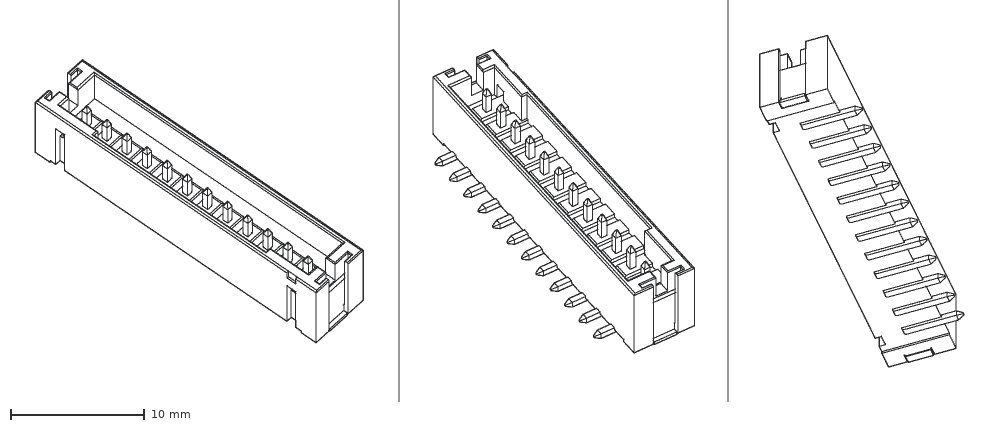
import cadquery as cq

LENGTH = 27.9
DEPTH = 5.4
TOP = 6.2
BOTTOM = 0.28
FOOT_BOTTOM = 0.08
FOOT_LENGTH = 1.48
RIM_DROP = 0.08
RIM_INSET = 0.17
RIM_END_INSET = 0.1

END_WALL = 1.48
BACK_WALL = 0.4
FRONT_WALL = 0.86
FLOOR = 3.25
LEAD_IN = 0.1
END_LEAD_IN = 0.17
WINDOW_LENGTH = 17.3
WINDOW_WALL = 0.4

PIN_COUNT = 12
PIN_SPAN = 21.99
PIN_PITCH = PIN_SPAN / (PIN_COUNT - 1)
PIN_SIZE = 0.5
BEND_RADIUS = PIN_SIZE / 2
PIN_Y = 2.48
PIN_TOP = 5.65
TAIL_REACH = 1.67
TIP_LENGTH = 0.47
TIP_SIZE = 0.15

SEAT_WIDTH = 1.28
SEAT_RISE = 0.33
SEAT_BACK = 3.68

SLOT_FROM_END = 2.05
SLOT_WIDTH = 0.86
SLOT_TOP = 4.58
SLOT_DEPTH = WINDOW_WALL + LEAD_IN
MARK_HEIGHT = 0.67

KEY_WIDTH = 1.03
KEY_BOTTOM = 4.2
KEY_LEAD_IN = 0.08
POCKET_FRONT = 0.8
POCKET_BACK = 4.45
POCKET_LEAD_IN = 0.08
OPENING_FRONT = 1.5
OPENING_BACK = 3.68
TAB_X = -LENGTH / 2 + 0.35
TAB_THICKNESS = 0.33
TAB_TOP = 4.05
TAB_FOOT_REACH = 0.6
TAB_FOOT_TOP = 0.28
RELIEF_WIDTH = 0.08
RELIEF_TOP = 0.9


def block(x_min, x_max, y_min, y_max, z_min, z_max):
    size = (x_max - x_min, y_max - y_min, z_max - z_min)
    return cq.Workplane("XY").box(*size, centered=False).translate((x_min, y_min, z_min))


def tip(x_centre, y_centre, base_z):
    """Upright pyramid point of a pin."""
    return (
        cq.Workplane("XY", origin=(x_centre, y_centre, base_z))
        .rect(PIN_SIZE, PIN_SIZE)
        .workplane(offset=TIP_LENGTH)
        .rect(TIP_SIZE, TIP_SIZE)
        .loft(ruled=True)
    )


def flared_opening(x_min, x_max, y_min, y_max, bottom, flare_x, flare_y, flare_depth):
    """Rectangular opening up to the rim, widened at the top by a sloping lead-in."""
    length = x_max - x_min
    width = y_max - y_min
    flare = (
        cq.Workplane("XY", origin=((x_min + x_max) / 2, (y_min + y_max) / 2, TOP - flare_depth))
        .rect(length, width)
        .workplane(offset=flare_depth)
        .rect(length + 2 * flare_x, width + 2 * flare_y)
        .loft(ruled=True)
    )
    return block(x_min, x_max, y_min, y_max, bottom, TOP).union(flare)


def both_ends(shape):
    return shape.union(shape.mirror("YZ"))


def shell():
    half = LENGTH / 2
    body = block(-half, half, 0, DEPTH, BOTTOM, TOP)
    body = body.faces(">Z").edges("|X").chamfer(RIM_DROP, RIM_INSET)
    body = body.faces(">Z").edges("|Y").chamfer(RIM_DROP, RIM_END_INSET)
    foot = block(-half, -half + FOOT_LENGTH, 0, DEPTH, FOOT_BOTTOM, BOTTOM)
    return body.union(both_ends(foot))


def cavity():
    half = LENGTH / 2 - END_WALL - END_LEAD_IN
    half_window = WINDOW_LENGTH / 2 - LEAD_IN
    back = DEPTH - BACK_WALL - LEAD_IN
    main = flared_opening(
        -half, half, FRONT_WALL + LEAD_IN, back, FLOOR, END_LEAD_IN, LEAD_IN, LEAD_IN
    )
    window = flared_opening(
        -half_window, half_window, WINDOW_WALL + LEAD_IN, back, FLOOR, LEAD_IN, LEAD_IN, LEAD_IN
    )
    return main.union(window)


def seat(x):
    profile = [
        (SLOT_DEPTH, FLOOR),
        (SLOT_DEPTH, FLOOR + SEAT_RISE),
        (SEAT_BACK - SEAT_RISE, FLOOR + SEAT_RISE),
        (SEAT_BACK, FLOOR),
    ]
    plane = cq.Workplane("YZ", origin=(x - SEAT_WIDTH / 2, 0, 0))
    return plane.polyline(profile).close().extrude(SEAT_WIDTH)


def front_slot():
    x_min = -LENGTH / 2 + SLOT_FROM_END
    x_max = x_min + SLOT_WIDTH
    lower = block(x_min, x_max, 0, SLOT_DEPTH, 0, SLOT_TOP)
    through = block(x_min, x_max, 0, FRONT_WALL + LEAD_IN, FLOOR, SLOT_TOP)
    return lower.union(through)


def polarity_mark():
    x_max = LENGTH / 2 - SLOT_FROM_END
    return block(x_max - SLOT_WIDTH, x_max, 0, RIM_INSET, TOP - MARK_HEIGHT, TOP)


def end_cuts():
    """Pocket, outer opening and key slot of the -X end wall."""
    inner = TAB_X + TAB_THICKNESS
    pocket = flared_opening(
        TAB_X, inner, POCKET_FRONT, POCKET_BACK, 0, POCKET_LEAD_IN, POCKET_LEAD_IN, POCKET_LEAD_IN
    )
    opening = block(-LENGTH / 2, TAB_X, OPENING_FRONT, OPENING_BACK, 0, TOP)
    key_end = -LENGTH / 2 + END_WALL + END_LEAD_IN
    key_front = PIN_Y - KEY_WIDTH / 2
    key = flared_opening(
        inner, key_end, key_front, key_front + KEY_WIDTH, KEY_BOTTOM, 0, KEY_LEAD_IN, KEY_LEAD_IN
    )
    return pocket.union(opening).union(key)


def solder_tab():
    """Upright plate in the -X pocket with a foot reaching out to the end face."""
    outer = -LENGTH / 2
    inner = TAB_X + TAB_THICKNESS
    plate = block(TAB_X, inner, POCKET_FRONT, POCKET_BACK, FOOT_BOTTOM, TAB_TOP)
    foot_front = OPENING_FRONT + RELIEF_WIDTH
    foot_back = OPENING_BACK - RELIEF_WIDTH
    for y in (OPENING_FRONT, foot_back):
        plate = plate.cut(block(TAB_X, inner, y, y + RELIEF_WIDTH, 0, RELIEF_TOP))
    foot = block(outer, outer + TAB_FOOT_REACH, foot_front, foot_back, 0, TAB_FOOT_TOP)
    return plate.union(foot)


def pin(x):
    half = PIN_SIZE / 2
    front = PIN_Y - half
    tail_end = DEPTH + TAIL_REACH - TIP_LENGTH
    post_end = PIN_TOP - TIP_LENGTH
    post = block(x - half, x + half, front, front + PIN_SIZE, 0, post_end)
    tail = block(x - half, x + half, front, tail_end, 0, PIN_SIZE)
    bar = post.union(tail)
    bar = bar.edges("|X and <Y and <Z").fillet(BEND_RADIUS)
    post_tip = tip(x, PIN_Y, post_end)
    tail_tip = tip(0, 0, 0).rotate((0, 0, 0), (1, 0, 0), -90).translate((x, tail_end, half))
    return bar.union(post_tip).union(tail_tip)


pin_positions = [-PIN_SPAN / 2 + i * PIN_PITCH for i in range(PIN_COUNT)]

result = shell().cut(cavity()).cut(both_ends(front_slot())).cut(polarity_mark())
result = result.cut(both_ends(end_cuts())).union(both_ends(solder_tab()))
for x in pin_positions:
    result = result.union(seat(x)).union(pin(x))